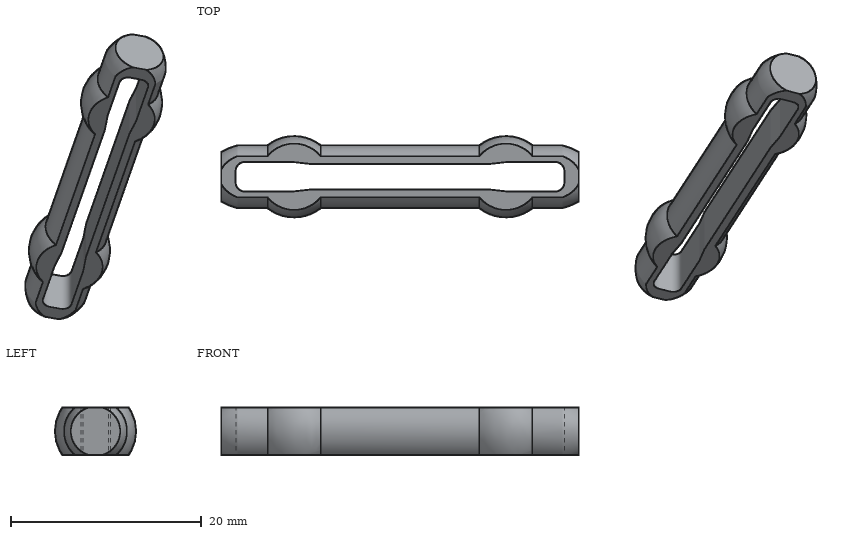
import cadquery as cq

length = 37.5
thickness = 5.0
rod_radius = 3.3

end_radius = 2.6
taper_length = 1.72
taper_bow = 0.08

bulge_radius = 4.28
bulge_length = 5.55
bulge_center = 11.1

slot_end_wall = 1.55
slot_half_width = 1.55
waist_half_width = 1.3
slot_corner_radius = 0.95
waist_taper_start = 11.25
waist_taper_length = 2.0

half_length = length / 2


def bar():
    """Round bar with tapered ends, revolved about the X axis."""
    taper_start = half_length - taper_length
    taper_mid = half_length - taper_length / 2
    taper_mid_radius = (rod_radius + end_radius) / 2 + taper_bow
    profile = (
        cq.Workplane("XY")
        .moveTo(-half_length, 0)
        .lineTo(-half_length, end_radius)
        .threePointArc((-taper_mid, taper_mid_radius), (-taper_start, rod_radius))
        .lineTo(taper_start, rod_radius)
        .threePointArc((taper_mid, taper_mid_radius), (half_length, end_radius))
        .lineTo(half_length, 0)
        .close()
    )
    return profile.revolve(360, (0, 0, 0), (1, 0, 0))


def bulge(center):
    """Barrel-shaped ring with an arc profile, centred at the given X."""
    start = center - bulge_length / 2
    end = center + bulge_length / 2
    profile = (
        cq.Workplane("XY")
        .moveTo(start, 0)
        .lineTo(start, rod_radius)
        .threePointArc((center, bulge_radius), (end, rod_radius))
        .lineTo(end, 0)
        .close()
    )
    return profile.revolve(360, (0, 0, 0), (1, 0, 0))


def slot():
    """Rounded through slot whose sides slope in to a waist between the bulges."""
    slot_end = half_length - slot_end_wall
    waist_taper_end = waist_taper_start - waist_taper_length
    upper_side = [
        (-slot_end, slot_half_width),
        (-waist_taper_start, slot_half_width),
        (-waist_taper_end, waist_half_width),
        (waist_taper_end, waist_half_width),
        (waist_taper_start, slot_half_width),
        (slot_end, slot_half_width),
    ]
    lower_side = [(x, -y) for x, y in reversed(upper_side)]
    cutter = (
        cq.Workplane("XY")
        .polyline(upper_side + lower_side)
        .close()
        .extrude(thickness / 2, both=True)
    )
    return cutter.edges("|Z and (<X or >X)").fillet(slot_corner_radius)


flats = cq.Workplane("XY").box(length, 2 * bulge_radius, thickness)

body = bar()
for side in (-1, 1):
    body = body.union(bulge(side * bulge_center))

result = body.intersect(flats).cut(slot())